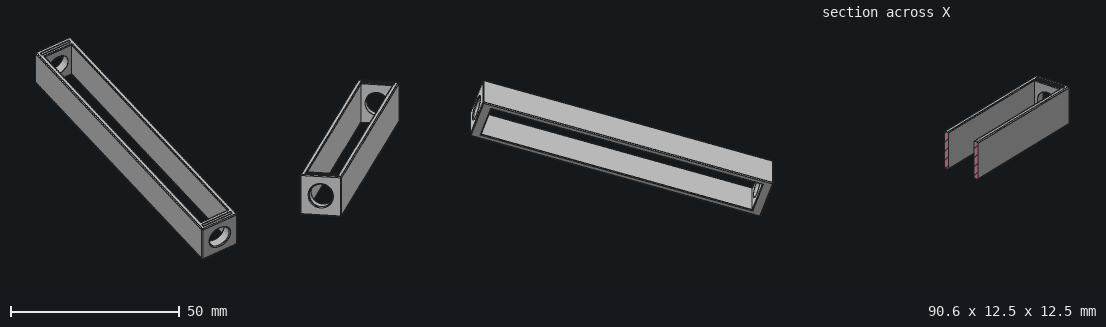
import cadquery as cq

length = 90.62
width = 12.5
height = 12.5

side_wall = 1.55
end_wall = 3.06
opening_length = length - 2 * end_wall
opening_width = width - 2 * side_wall

edge_break = 0.3
rim_break = 0.25

end_hole_diameter = 7.0

groove_length = 10.1
groove_width = 0.85
groove_inset = 1.15
groove_depth = 0.2


def make_frame():
    """Rectangular frame with bevelled edges, open at top and bottom, centred on the origin."""
    block = cq.Workplane("XY").box(length, width, height).edges().chamfer(edge_break)
    opening = cq.Workplane("XY").rect(opening_length, opening_width)
    opening = opening.extrude(height / 2, both=True)
    frame = block.cut(opening)
    inside = cq.selectors.BoxSelector(
        (-length / 2 + end_wall / 2, -width / 2 + side_wall / 2, -height),
        (length / 2 - end_wall / 2, width / 2 - side_wall / 2, height),
    )
    rims = frame.faces("<Z or >Z").edges(inside)
    return rims.chamfer(rim_break)


def make_end_hole(side):
    """Cutter for the hole in one end wall (-1 or +1 along X), flared at the outer face."""
    end_x = side * length / 2
    radius = end_hole_diameter / 2
    profile = [
        (0, 0),
        (end_x, 0),
        (end_x, radius + edge_break),
        (end_x - side * edge_break, radius),
        (0, radius),
    ]
    return cq.Workplane("XY").polyline(profile).close().revolve(360, (0, 0), (1, 0))


def make_groove(side):
    """Groove cutter for the end wall on the given side (-1 or +1 along X)."""
    center_x = side * (length / 2 - groove_inset - groove_width / 2)
    center_z = height / 2 - groove_depth / 2
    groove = cq.Workplane("XY").box(groove_width, groove_length, groove_depth)
    return groove.translate((center_x, 0, center_z))


result = make_frame()
for side in (-1, 1):
    result = result.cut(make_end_hole(side))
    result = result.cut(make_groove(side))